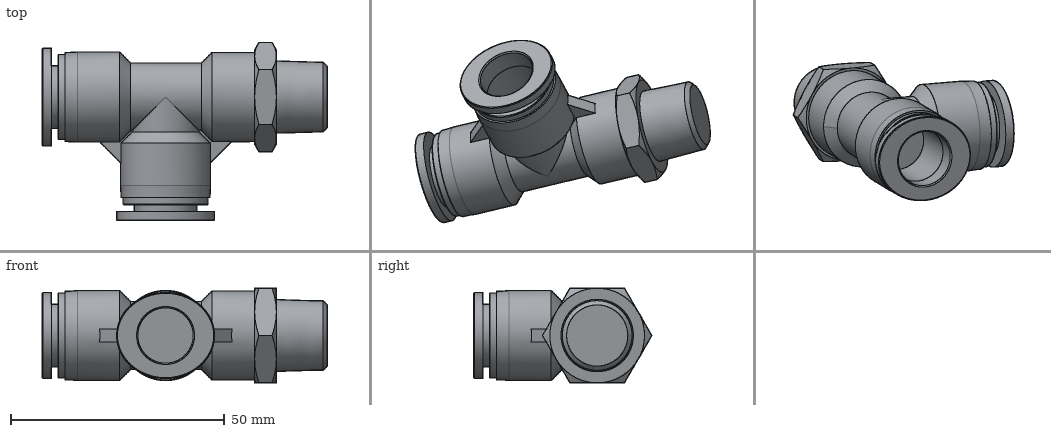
import cadquery as cq
import math


port_reach = 29.0
waist_radius = 8.0
port_radius = 10.6
port_cone_start = 8.2
port_cone_end = port_cone_start + port_radius - waist_radius
taper_start = 20.7
rim_start = 23.6
rim_shoulder_radius = 10.45
rim_radius = 10.0
rim_chamfer = 0.2
mouth_face = 25.3
tube_bore_radius = 6.5
tube_bore_bottom = port_cone_end

sleeve_radius = 7.4
sleeve_inner_end = 23.8
flange_thickness = 2.2
flange_length_in_plane = 23.0
flange_height = 20.2
flange_edge_chamfer = 0.2
bore_edge_chamfer = 0.3

stud_end_radius = 10.5
stud_cone_start = 8.4
stud_cone_end = stud_cone_start + stud_end_radius - waist_radius
nut_start = 20.9

web_thickness = 3.0
web_leg = 26.0

hex_flats = 22.23
hex_thickness = 5.1
hex_half_angle = math.radians(30)
hex_chamfer_angle = math.radians(30)
stud_reach = 38.0
thread_root_radius = 8.5
thread_end_radius = 8.18
thread_chamfer = 1.0


def turned(points, direction=1):
    """Solid of revolution about X from (distance along X, radius) points starting and ending on the axis."""
    placed = [(direction * along, radius) for along, radius in points]
    return cq.Workplane("XY").polyline(placed).close().revolve(360, (0, 0, 0), (1, 0, 0))


def to_branch(run_shape):
    """Swing a shape built on the -X port round to the -Y port."""
    return run_shape.rotate((0, 0, 0), (0, 0, 1), 90)


def make_port_blank():
    """Outside of a push-in port with the waist reaching back to the origin."""
    return turned([
        (0, 0),
        (0, waist_radius),
        (port_cone_start, waist_radius),
        (port_cone_end, port_radius),
        (taper_start, port_radius),
        (rim_start, rim_shoulder_radius),
        (rim_start, rim_radius),
        (mouth_face - rim_chamfer, rim_radius),
        (mouth_face, rim_radius - rim_chamfer),
        (mouth_face, 0),
    ], direction=-1)


def make_port_bore():
    """Blind tube bore, widened at the mouth to seat the release sleeve."""
    return turned([
        (tube_bore_bottom, 0),
        (tube_bore_bottom, tube_bore_radius),
        (sleeve_inner_end, tube_bore_radius),
        (sleeve_inner_end, sleeve_radius),
        (mouth_face, sleeve_radius),
        (mouth_face, 0),
    ], direction=-1)


def make_stud_blank():
    """Outside of the tee on the stud side, up to the hexagon."""
    return turned([
        (0, 0),
        (0, waist_radius),
        (stud_cone_start, waist_radius),
        (stud_cone_end, stud_end_radius),
        (nut_start, stud_end_radius),
        (nut_start, 0),
    ])


def make_webs():
    """Trapezoid plate whose corners show as a web on each side of the branch."""
    web_inner = (tube_bore_radius + waist_radius) / 2
    web_side = web_leg - web_inner
    return (
        cq.Workplane("XY")
        .polyline([
            (-web_side, -web_inner),
            (web_side, -web_inner),
            (web_inner, -web_side),
            (-web_inner, -web_side),
        ])
        .close()
        .extrude(web_thickness / 2, both=True)
    )


def make_tee():
    run_port = make_port_blank()
    tee = run_port.union(to_branch(run_port)).union(make_stud_blank())
    tee = tee.union(make_webs())
    bore = make_port_bore()
    return tee.cut(bore).cut(to_branch(bore))


def make_sleeve():
    """Release sleeve of the -X port: round neck, oval flange and a through bore."""
    flange_inner_face = port_reach - flange_thickness
    neck = turned([
        (sleeve_inner_end, 0),
        (sleeve_inner_end, sleeve_radius),
        (flange_inner_face, sleeve_radius),
        (flange_inner_face, 0),
    ], direction=-1)
    flange = (
        cq.Workplane("YZ", origin=(-port_reach, 0, 0))
        .ellipse(flange_length_in_plane / 2, flange_height / 2)
        .extrude(flange_thickness)
        .faces("<X").chamfer(flange_edge_chamfer)
    )
    bore = turned([
        (sleeve_inner_end, 0),
        (sleeve_inner_end, tube_bore_radius),
        (port_reach - bore_edge_chamfer, tube_bore_radius),
        (port_reach, tube_bore_radius + bore_edge_chamfer),
        (port_reach, 0),
    ], direction=-1)
    return neck.union(flange).cut(bore)


def make_stud():
    """Hexagon with both rims chamfered, carrying the tapered thread blank."""
    nut_end = nut_start + hex_thickness
    flat_radius = hex_flats / 2
    corner_radius = flat_radius / math.cos(hex_half_angle)
    corner_drop = (corner_radius - flat_radius) * math.tan(hex_chamfer_angle)
    hexagon = (
        cq.Workplane("YZ", origin=(nut_start, 0, 0))
        .polygon(6, 2 * corner_radius)
        .extrude(hex_thickness)
    )
    corner_limit = turned([
        (nut_start, 0),
        (nut_start, flat_radius),
        (nut_start + corner_drop, corner_radius),
        (nut_end - corner_drop, corner_radius),
        (nut_end, flat_radius),
        (nut_end, 0),
    ])
    thread = turned([
        (nut_end, 0),
        (nut_end, thread_root_radius),
        (stud_reach - thread_chamfer, thread_end_radius),
        (stud_reach, thread_end_radius - thread_chamfer),
        (stud_reach, 0),
    ])
    return hexagon.intersect(corner_limit).union(thread)


tee = make_tee()
stud = make_stud()
run_sleeve = make_sleeve()
branch_sleeve = to_branch(run_sleeve)

result = cq.Compound.makeCompound([
    tee.val(),
    stud.val(),
    run_sleeve.val(),
    branch_sleeve.val(),
])